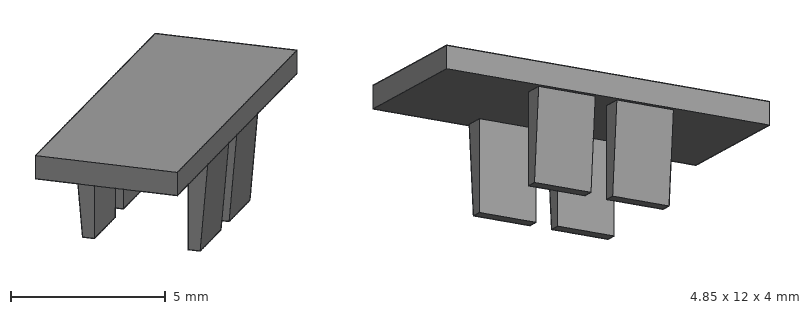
import cadquery as cq

plate_width = 4.85
plate_length = 12.0
plate_thickness = 0.8
total_height = 4.0

leg_height = total_height - plate_thickness
leg_length = 2.1
leg_gap = 0.8
inner_spacing = 3.2
root_thickness = 0.68
tip_thickness = 0.41

plate = cq.Workplane("XY").box(
    plate_width, plate_length, plate_thickness, centered=(True, True, False)
)


def make_leg(side, y_center):
    """Leg with a vertical inner face and a sloping outer face; side is -1 or 1."""
    inner_x = inner_spacing / 2
    profile = [
        (side * inner_x, 0),
        (side * (inner_x + root_thickness), 0),
        (side * (inner_x + tip_thickness), -leg_height),
        (side * inner_x, -leg_height),
    ]
    return (
        cq.Workplane("XZ", origin=(0, y_center, 0))
        .polyline(profile)
        .close()
        .extrude(leg_length / 2, both=True)
    )


leg_offset = (leg_gap + leg_length) / 2
result = plate
for side in (-1, 1):
    for y_center in (-leg_offset, leg_offset):
        result = result.union(make_leg(side, y_center))